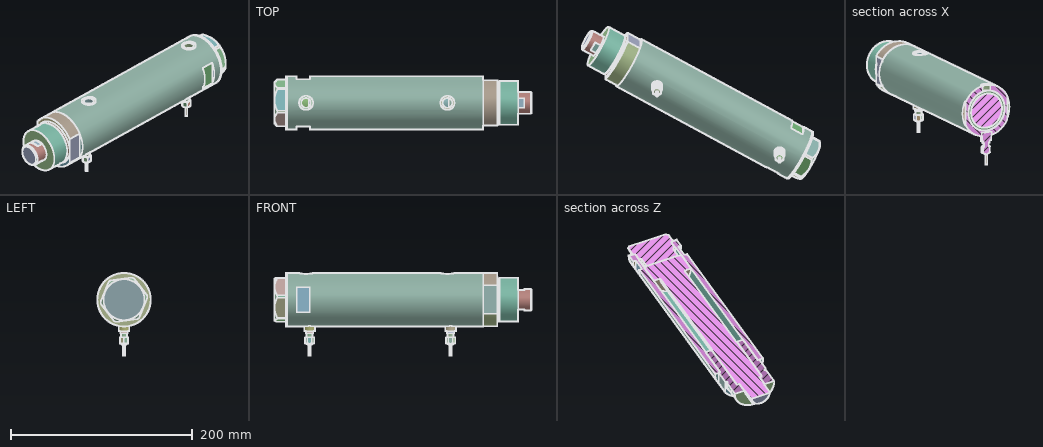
import cadquery as cq
import math


total_length = 283.42
body_diameter = 59.0
body_radius = body_diameter / 2
bore_diameter = 45.0
overall_height = 91.3

hex_length = 13.0
flange_thickness = 1.7
tube_start = hex_length + flange_thickness
tube_end = 229.7
shoulder_end = 245.4
nose_start = 248.2
nose_end = 268.3
piston_start = 38.1
head_plug_start = 192.0

hex_across_flats = 46.0
hex_trim_diameter = 51.8
hex_face_diameter = 45.0
hex_tilt = 7.8
cap_plug_length = 10.0
cap_snout_diameter = 39.0

tube_flat_start = 24.8
tube_flat_length = 14.6
tube_flat_half_width = 26.2
port_positions = (35.1, 190.6)
port_diameter = 10.8
port_seat_diameter = 15.5
port_seat_depth = 1.1

head_flat_half_width = 25.0
neck_large_diameter = 50.0
neck_diameter = 45.4
neck_bottom = 247.0
nose_diameter = 48.4

rod_diameter = 24.0
rod_inner_diameter = 30.0
rod_step = 255.0
piston_length = 25.0
rod_across_flats = 21.7
rod_flat_length = 6.8
rod_chamfer = 1.3

sensor_positions = (39.0, 194.0)
sensor_seat_depth = 4.5
sensor_bottom = body_radius - overall_height
collar_diameter = 12.0
collar_bottom = -34.5
step_diameter = 8.3
step_bottom = -37.0
waist_diameter = 6.8
sensor_hex_top = -41.2
sensor_hex_bottom = -48.2
sensor_hex_across_flats = 9.0
sensor_hex_chamfer = 0.6
cable_cone_bottom = -49.9
cable_diameter = 2.5


def rod_along_x(diameter, start, end):
    """Round bar on the cylinder axis between two X stations."""
    return cq.Workplane("YZ", origin=(start, 0, 0)).circle(diameter / 2).extrude(end - start)


def rod_along_z(diameter, x, bottom, top):
    """Round bar parallel to Z between two heights."""
    return cq.Workplane("XY", origin=(x, 0, bottom)).circle(diameter / 2).extrude(top - bottom)


def revolved_about_x(points):
    """Solid of revolution from (x, radius) points."""
    return cq.Workplane("XY").polyline(points).close().revolve(360, (0, 0, 0), (1, 0, 0))


def slab_pair(start, end, half_width, along):
    """Two blocks outside +/- half_width on the given axis, used to cut parallel flats."""
    depth = body_radius
    blocks = cq.Workplane("XY")
    for side in (-1, 1):
        offset = side * (half_width + depth / 2)
        if along == "Y":
            block = cq.Workplane("XY").box(end - start, depth, body_diameter)
            block = block.translate(((start + end) / 2, offset, 0))
        else:
            block = cq.Workplane("XY").box(end - start, body_diameter, depth)
            block = block.translate(((start + end) / 2, 0, offset))
        blocks = blocks.add(block)
    return blocks.combine()


def hex_prism(across_flats, plane, origin, length):
    """Hexagonal bar given by its width across flats."""
    across_corners = across_flats / math.cos(math.pi / 6)
    return cq.Workplane(plane, origin=origin).polygon(6, across_corners).extrude(length)


def make_end_cap():
    hexagon = hex_prism(hex_across_flats, "YZ", (0, 0, 0), hex_length)
    hexagon = hexagon.rotate((0, 0, 0), (1, 0, 0), -hex_tilt)
    trim_radius = hex_trim_diameter / 2
    face_radius = hex_face_diameter / 2
    envelope = revolved_about_x([
        (0, 0),
        (0, face_radius),
        (trim_radius - face_radius, trim_radius),
        (hex_length, trim_radius),
        (hex_length, 0),
    ])
    flange = rod_along_x(body_diameter, hex_length, tube_start)
    plug = rod_along_x(bore_diameter, tube_start, tube_start + cap_plug_length)
    snout = rod_along_x(cap_snout_diameter, tube_start, piston_start)
    return hexagon.intersect(envelope).union(flange).union(plug).union(snout)


def make_tube():
    tube = rod_along_x(body_diameter, tube_start, tube_end)
    tube = tube.cut(rod_along_x(bore_diameter, tube_start, tube_end))
    flat_end = tube_flat_start + tube_flat_length
    tube = tube.cut(slab_pair(tube_flat_start, flat_end, tube_flat_half_width, "Y"))
    for x in port_positions:
        tube = tube.cut(rod_along_z(port_diameter, x, 0, body_radius))
        seat_floor = body_radius - port_seat_depth
        tube = tube.cut(rod_along_z(port_seat_diameter, x, seat_floor, body_radius))
    for x in sensor_positions:
        tube = tube.cut(rod_along_z(collar_diameter, x, -body_radius, sensor_seat_depth - body_radius))
    return tube


def make_head():
    head = revolved_about_x([
        (head_plug_start, 0),
        (head_plug_start, bore_diameter / 2),
        (tube_end, bore_diameter / 2),
        (tube_end, body_radius),
        (shoulder_end, body_radius),
        (shoulder_end, neck_large_diameter / 2),
        (neck_bottom, neck_diameter / 2),
        (nose_start, nose_diameter / 2),
        (nose_end, nose_diameter / 2),
        (nose_end, 0),
    ])
    head = head.cut(slab_pair(tube_end, shoulder_end, head_flat_half_width, "Y"))
    head = head.cut(rod_along_x(rod_inner_diameter, head_plug_start, rod_step))
    return head.cut(rod_along_x(rod_diameter, rod_step, nose_end))


def make_piston_rod():
    rod = rod_along_x(rod_diameter, rod_step, total_length).faces(">X").chamfer(rod_chamfer)
    flat_end = nose_end + rod_flat_length
    rod = rod.cut(slab_pair(nose_end, flat_end, rod_across_flats / 2, "Z"))
    piston_end = piston_start + piston_length
    rod = rod.union(rod_along_x(rod_inner_diameter, piston_end, rod_step))
    return rod.union(rod_along_x(bore_diameter, piston_start, piston_end))


def make_sensor(x):
    sensor = rod_along_z(collar_diameter, x, collar_bottom, sensor_seat_depth - body_radius)
    sensor = sensor.union(rod_along_z(step_diameter, x, step_bottom, collar_bottom))
    sensor = sensor.union(rod_along_z(waist_diameter, x, sensor_hex_top, step_bottom))

    hex_height = sensor_hex_top - sensor_hex_bottom
    hexagon = hex_prism(sensor_hex_across_flats, "XY", (x, 0, sensor_hex_bottom), hex_height)
    hex_corner_diameter = sensor_hex_across_flats / math.cos(math.pi / 6)
    envelope = rod_along_z(hex_corner_diameter, x, sensor_hex_bottom, sensor_hex_top)
    envelope = envelope.faces("<Z or >Z").chamfer(sensor_hex_chamfer)
    sensor = sensor.union(hexagon.intersect(envelope))

    cone_height = sensor_hex_bottom - cable_cone_bottom
    cone = cq.Solid.makeCone(
        cable_diameter / 2,
        step_diameter / 2,
        cone_height,
        cq.Vector(x, 0, cable_cone_bottom),
        cq.Vector(0, 0, 1),
    )
    sensor = sensor.union(cq.Workplane(obj=cone))
    return sensor.union(rod_along_z(cable_diameter, x, sensor_bottom, cable_cone_bottom))


end_cap = make_end_cap()
tube = make_tube()
head = make_head()
piston_rod = make_piston_rod()
sensors = [make_sensor(x) for x in sensor_positions]

result = cq.Compound.makeCompound([
    end_cap.val(),
    tube.val(),
    head.val(),
    piston_rod.val(),
    *[sensor.val() for sensor in sensors],
])